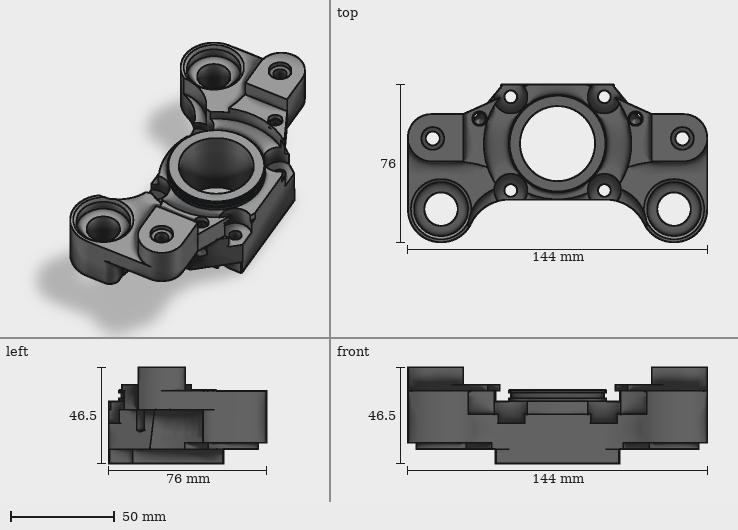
import cadquery as cq
import math

HALF_WIDTH = 72.0
FRONT_Y = -27.0
REAR_Y = 28.5

BASE_TOP = 7.0
WING_BOTTOM = 10.0
BOLT_SEAT = 19.5
LEDGE_TOP = 23.75
OVERHANG_BOTTOM = 26.0
CORE_TOP = 30.0
WING_TOP = 35.0
LIP_TOP = 38.0
EAR_TOP = 46.5

BASE_HALF_WIDTH = 30.0
BASE_REAR_HALF_WIDTH = 27.3
BASE_STEP_Y = 16.8
BASE_RELIEF_END_Y = 22.7
BASE_RELIEF_RADIUS = 12.0
BASE_CHAMFER = 0.5

BORE_DIAMETER = 36.0
COLLAR_DIAMETER = 47.0
GROOVE_DIAMETER = 45.0
GROOVE_BOTTOM = 31.6
GROOVE_TOP = 34.2
COLLAR_TOP = 35.6
COLLAR_CHAMFER = 0.5
COLLAR_POCKET_RADIUS = 35.5

BOLT_OFFSET = 22.5
BOLT_DIAMETER = 6.0
BOLT_SEAT_DIAMETER = 16.0

BOSS_RADIUS = 16.0
BOSS_X = HALF_WIDTH - BOSS_RADIUS
BOSS_Y = -31.5
BOSS_BORE_DIAMETER = 16.0
BOSS_COUNTERBORE_DIAMETER = 26.0
BOSS_COUNTERBORE_DEPTH = 6.5
BOSS_CHAMFER = 1.5
FOOT_DIAMETER = 24.0
FOOT_RELIEF_RADIUS = 24.6

CORNER_RADIUS = 20.0
CORNER_CLEARANCE_X = 23.0
CORNER_CLEARANCE_Y = -40.5

LEDGE_ARC_RADIUS = 36.0
LEDGE_ARC_FRONT_Y = -26.8

FLANK_REAR_X = 26.2
FLANK_SLOPE = 1.217
POCKET_X = 67.0
POCKET_FRONT_Y = -17.0
POCKET_TOP_RADIUS = 22.6
POCKET_BOTTOM_RADIUS = 24.5
POCKET_CORNER_RADIUS = HALF_WIDTH - POCKET_X

EAR_HOLE_X = 60.0
EAR_HOLE_Y = 2.5
EAR_INNER_X = 45.25
EAR_RADIUS = 11.375
EAR_FRONT_Y = -8.5
EAR_HOLE_DIAMETER = 6.65
EAR_COUNTERBORE_DIAMETER = 11.0
EAR_COUNTERBORE_DEPTH = 2.5
SLANT_REAR_X = 13.6
LIP_FRONT_START_X = 50.65
LIP_FRONT_END_X = 28.0
LIP_FRONT_RADIUS = 52.0

PIN_X = 37.5
PIN_Y = 12.0
PIN_DIAMETER = 6.0
PIN_MOUTH_DIAMETER = 7.0
PIN_BOTTOM = 16.2
PIN_TIP_DEPTH = 1.7

SQRT_HALF = math.sqrt(0.5)
EAR_ROUND_X = HALF_WIDTH - EAR_RADIUS
EAR_ROUND_Y = EAR_FRONT_Y + EAR_RADIUS
EAR_REAR_Y = EAR_ROUND_Y + EAR_RADIUS


def cylinder(x, y, diameter, bottom, top):
    """Upright cylinder between two heights."""
    return cq.Workplane("XY", origin=(x, y, bottom)).circle(diameter / 2).extrude(top - bottom)


def prism(sketch, bottom, top):
    """Closed outline at height zero, extruded between two heights."""
    return sketch.close().extrude(top - bottom).translate((0, 0, bottom))


def both_sides(left):
    """The left-hand shape joined with its mirror image."""
    return left.union(left.mirror("YZ"))


def front_edge(sketch):
    """Continue an outline from the outer wing edge round the boss to the middle of the front face."""
    reach = BOSS_RADIUS + CORNER_RADIUS
    corner_y = FRONT_Y - CORNER_RADIUS
    rise = BOSS_Y - corner_y
    run = math.sqrt(reach**2 - rise**2)
    corner_x = -BOSS_X + run
    share = BOSS_RADIUS / reach
    tangent = (-BOSS_X + share * run, BOSS_Y - share * rise)
    middle_angle = (math.pi - math.atan2(rise, run) + math.pi / 2) / 2
    middle = (
        corner_x + CORNER_RADIUS * math.cos(middle_angle),
        corner_y + CORNER_RADIUS * math.sin(middle_angle),
    )
    return (
        sketch.lineTo(-HALF_WIDTH, BOSS_Y)
        .threePointArc((-BOSS_X, BOSS_Y - BOSS_RADIUS), tangent)
        .threePointArc(middle, (corner_x, FRONT_Y))
        .lineTo(0, FRONT_Y)
    )


def base():
    arc_drop = BASE_RELIEF_END_Y - BASE_STEP_Y
    arc_depth = BASE_RELIEF_RADIUS - math.sqrt(BASE_RELIEF_RADIUS**2 - arc_drop**2)
    relief_x = -BASE_REAR_HALF_WIDTH + arc_depth
    left = prism(
        cq.Workplane("XY")
        .moveTo(0, FRONT_Y)
        .lineTo(-BASE_HALF_WIDTH + BASE_CHAMFER, FRONT_Y)
        .lineTo(-BASE_HALF_WIDTH, FRONT_Y + BASE_CHAMFER)
        .lineTo(-BASE_HALF_WIDTH, BASE_STEP_Y)
        .lineTo(relief_x, BASE_STEP_Y)
        .radiusArc((-BASE_REAR_HALF_WIDTH, BASE_RELIEF_END_Y), BASE_RELIEF_RADIUS)
        .lineTo(-BASE_REAR_HALF_WIDTH, REAR_Y - BASE_CHAMFER)
        .lineTo(-BASE_REAR_HALF_WIDTH + BASE_CHAMFER, REAR_Y)
        .lineTo(0, REAR_Y),
        0,
        BASE_TOP,
    )
    return both_sides(left)


def lower_body():
    """Core and boss walls below the overhanging wings, with a drafted pocket on each side."""
    flank_end_x = FLANK_REAR_X + (REAR_Y - POCKET_FRONT_Y) / FLANK_SLOPE
    corner_y = POCKET_FRONT_Y - POCKET_CORNER_RADIUS
    corner_reach = POCKET_CORNER_RADIUS * SQRT_HALF
    outline = (
        cq.Workplane("XY")
        .moveTo(0, REAR_Y)
        .lineTo(-FLANK_REAR_X, REAR_Y)
        .lineTo(-flank_end_x, POCKET_FRONT_Y)
        .lineTo(-POCKET_X, POCKET_FRONT_Y)
        .threePointArc((-POCKET_X - corner_reach, corner_y + corner_reach), (-HALF_WIDTH, corner_y))
    )
    left = prism(front_edge(outline), BASE_TOP, OVERHANG_BOTTOM)
    pocket = (
        cq.Workplane("XY", origin=(-POCKET_X, POCKET_FRONT_Y, BASE_TOP))
        .center(0, POCKET_BOTTOM_RADIUS)
        .circle(POCKET_BOTTOM_RADIUS)
        .workplane(offset=OVERHANG_BOTTOM - BASE_TOP)
        .center(0, POCKET_TOP_RADIUS - POCKET_BOTTOM_RADIUS)
        .circle(POCKET_TOP_RADIUS)
        .loft(ruled=True)
    )
    relief = cylinder(-BOSS_X, BOSS_Y, 2 * FOOT_RELIEF_RADIUS, BASE_TOP, WING_BOTTOM)
    foot = cylinder(-BOSS_X, BOSS_Y, FOOT_DIAMETER, BASE_TOP, WING_BOTTOM)
    return both_sides(left.cut(pocket).cut(relief).union(foot))


def wings():
    """Wings and core up to the wing top, with rear edges slanting from the ears to the rear face."""
    reach = EAR_RADIUS * SQRT_HALF
    outline = (
        cq.Workplane("XY")
        .moveTo(0, REAR_Y)
        .lineTo(-SLANT_REAR_X, REAR_Y)
        .lineTo(-EAR_INNER_X, EAR_REAR_Y)
        .lineTo(-EAR_ROUND_X, EAR_REAR_Y)
        .threePointArc((-EAR_ROUND_X - reach, EAR_ROUND_Y + reach), (-HALF_WIDTH, EAR_ROUND_Y))
    )
    return both_sides(prism(front_edge(outline), OVERHANG_BOTTOM, WING_TOP))


def collar_pocket():
    return cylinder(0, 0, 2 * COLLAR_POCKET_RADIUS, CORE_TOP, WING_TOP)


def front_ledge():
    """Tool that lowers the front edge between the bolts, leaving a shallow arc behind it."""
    strip = cq.Workplane("XY", origin=(0, FRONT_Y, LEDGE_TOP)).rect(2 * BOLT_OFFSET, BOLT_OFFSET)
    arc_y = LEDGE_ARC_FRONT_Y + LEDGE_ARC_RADIUS
    arc_body = cylinder(0, arc_y, 2 * LEDGE_ARC_RADIUS, LEDGE_TOP, CORE_TOP)
    return strip.extrude(CORE_TOP - LEDGE_TOP).cut(arc_body)


def corner_clearance():
    """Round tool, outside the bolts only, that lowers the concave corners to the ledge."""
    left = cylinder(-CORNER_CLEARANCE_X, CORNER_CLEARANCE_Y, 2 * CORNER_RADIUS, LEDGE_TOP, WING_TOP)
    middle = cq.Workplane("XY", origin=(0, CORNER_CLEARANCE_Y, LEDGE_TOP))
    middle = middle.rect(2 * BOLT_OFFSET, 2 * CORNER_RADIUS).extrude(WING_TOP - LEDGE_TOP)
    return both_sides(left.cut(middle))


def collar():
    radius = COLLAR_DIAMETER / 2
    groove = GROOVE_DIAMETER / 2
    profile = (
        cq.Workplane("XZ")
        .moveTo(0, CORE_TOP)
        .lineTo(radius, CORE_TOP)
        .lineTo(radius, GROOVE_BOTTOM)
        .lineTo(groove, GROOVE_BOTTOM)
        .lineTo(groove, GROOVE_TOP)
        .lineTo(radius, GROOVE_TOP)
        .lineTo(radius, COLLAR_TOP - COLLAR_CHAMFER)
        .lineTo(radius - COLLAR_CHAMFER, COLLAR_TOP)
        .lineTo(0, COLLAR_TOP)
        .close()
    )
    return profile.revolve(360, (0, 0, 0), (0, 1, 0))


def lips():
    """Thin plates between the ears and the collar pocket, overhanging the rear bolt seats."""
    run = LIP_FRONT_START_X - LIP_FRONT_END_X
    front_end_y = EAR_FRONT_Y - LIP_FRONT_RADIUS + math.sqrt(LIP_FRONT_RADIUS**2 - run**2)
    plate = prism(
        cq.Workplane("XY")
        .moveTo(-LIP_FRONT_START_X, EAR_REAR_Y)
        .lineTo(-EAR_INNER_X, EAR_REAR_Y)
        .lineTo(-SLANT_REAR_X, REAR_Y)
        .lineTo(-LIP_FRONT_END_X, front_end_y)
        .radiusArc((-LIP_FRONT_START_X, EAR_FRONT_Y), -LIP_FRONT_RADIUS),
        WING_TOP,
        LIP_TOP,
    )
    return both_sides(plate.cut(cylinder(0, 0, 2 * COLLAR_POCKET_RADIUS, WING_TOP, LIP_TOP)))


def ears():
    outline = (
        cq.Workplane("XY")
        .moveTo(-EAR_INNER_X, EAR_REAR_Y)
        .lineTo(-EAR_ROUND_X, EAR_REAR_Y)
        .threePointArc((-HALF_WIDTH, EAR_ROUND_Y), (-EAR_ROUND_X, EAR_FRONT_Y))
        .lineTo(-EAR_INNER_X, EAR_FRONT_Y)
    )
    return both_sides(prism(outline, WING_TOP, EAR_TOP))


def bolt_places():
    return [(x, y) for x in (-BOLT_OFFSET, BOLT_OFFSET) for y in (-BOLT_OFFSET, BOLT_OFFSET)]


def boss_hole(x):
    mouth = BOSS_COUNTERBORE_DIAMETER / 2
    hole = cylinder(x, BOSS_Y, BOSS_BORE_DIAMETER, BASE_TOP, WING_TOP)
    counterbore_bottom = WING_TOP - BOSS_COUNTERBORE_DEPTH
    hole = hole.union(cylinder(x, BOSS_Y, BOSS_COUNTERBORE_DIAMETER, counterbore_bottom, WING_TOP))
    cone = cq.Solid.makeCone(
        mouth, mouth + BOSS_CHAMFER, BOSS_CHAMFER, cq.Vector(x, BOSS_Y, WING_TOP - BOSS_CHAMFER)
    )
    return hole.union(cq.Workplane(cone))


def ear_hole(x):
    hole = cylinder(x, EAR_HOLE_Y, EAR_HOLE_DIAMETER, OVERHANG_BOTTOM, EAR_TOP)
    seat = cylinder(x, EAR_HOLE_Y, EAR_COUNTERBORE_DIAMETER, EAR_TOP - EAR_COUNTERBORE_DEPTH, EAR_TOP)
    return hole.union(seat)


def pin_hole(x):
    """Blind hole with a wider mouth and a conical end."""
    hole = cylinder(x, PIN_Y, PIN_DIAMETER, PIN_BOTTOM, LIP_TOP)
    mouth = cylinder(x, PIN_Y, PIN_MOUTH_DIAMETER, WING_TOP, LIP_TOP)
    tip = cq.Solid.makeCone(
        0, PIN_DIAMETER / 2, PIN_TIP_DEPTH, cq.Vector(x, PIN_Y, PIN_BOTTOM - PIN_TIP_DEPTH)
    )
    return hole.union(mouth).union(cq.Workplane(tip))


body = base().union(lower_body()).union(wings())
body = body.cut(collar_pocket()).cut(front_ledge()).cut(corner_clearance())
for bolt_x, bolt_y in bolt_places():
    body = body.cut(cylinder(bolt_x, bolt_y, BOLT_SEAT_DIAMETER, BOLT_SEAT, WING_TOP))
    body = body.cut(cylinder(bolt_x, bolt_y, BOLT_DIAMETER, 0, BOLT_SEAT))

body = body.union(collar()).union(lips()).union(ears())
body = body.cut(cylinder(0, 0, BORE_DIAMETER, 0, COLLAR_TOP))
for side in (-1, 1):
    body = body.cut(boss_hole(side * BOSS_X))
    body = body.cut(ear_hole(side * EAR_HOLE_X))
    body = body.cut(pin_hole(side * PIN_X))

result = body